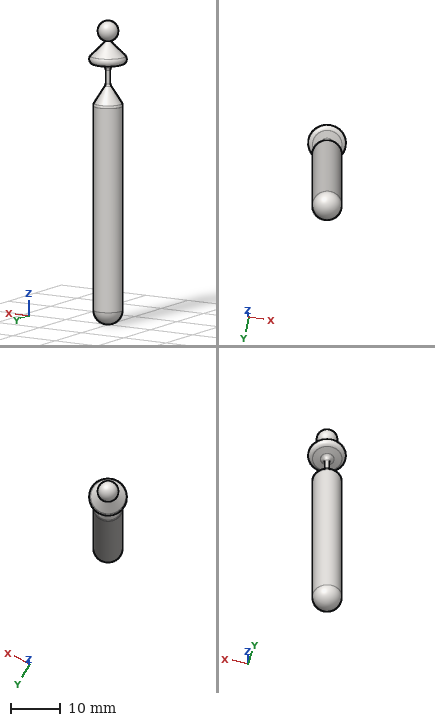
import cadquery as cq
import math

total_height = 62.14
body_radius = 3.0
stem_radius = 0.5
ball_radius = 2.12
cap_radius = 3.83
blend_radius = 1.0

shoulder_height = 45.03
cone_half_angle = 32.0
cap_half_angle = 45.0
underside_angle = 7.0
cap_rim_height = 54.24
cap_tip_radius = 0.3

cone_top_height = shoulder_height + (body_radius - stem_radius) / math.tan(math.radians(cone_half_angle))

rim_centre_radius = cap_radius - blend_radius
cap_slope = 1 / math.tan(math.radians(cap_half_angle))
underside_slope = math.tan(math.radians(underside_angle))
cap_apex_height = (
    cap_rim_height
    + blend_radius / math.sin(math.radians(cap_half_angle))
    + rim_centre_radius * cap_slope
)
underside_apex_height = (
    cap_rim_height
    - blend_radius / math.cos(math.radians(underside_angle))
    - rim_centre_radius * underside_slope
)
sharp_rim_radius = (cap_apex_height - underside_apex_height) / (cap_slope + underside_slope)
ball_centre_height = total_height - ball_radius


def cap_top_height(radius):
    """Height of the upper cap cone at a given radius."""
    return cap_apex_height - radius * cap_slope


def underside_height(radius):
    """Height of the cap underside at a given radius."""
    return underside_apex_height + radius * underside_slope


def make_spindle():
    """Body, cone, stem and cap, with every corner between them rounded."""
    spindle = (
        cq.Workplane("XZ")
        .moveTo(0, body_radius)
        .lineTo(body_radius, body_radius)
        .lineTo(body_radius, shoulder_height)
        .lineTo(stem_radius, cone_top_height)
        .lineTo(stem_radius, underside_height(stem_radius))
        .lineTo(sharp_rim_radius, cap_top_height(sharp_rim_radius))
        .lineTo(cap_tip_radius, cap_top_height(cap_tip_radius))
        .lineTo(0, cap_top_height(cap_tip_radius))
        .close()
        .revolve(360, (0, 0), (0, 1))
    )
    corners = spindle.edges("%CIRCLE").edges("not(<Z or >Z)")
    return corners.fillet(blend_radius)


def make_sphere(radius, centre_height):
    """Sphere centred on the axis."""
    return cq.Workplane("XY").sphere(radius).translate((0, 0, centre_height))


rounded_end = make_sphere(body_radius, body_radius)
ball = make_sphere(ball_radius, ball_centre_height)
result = make_spindle().union(rounded_end).union(ball)